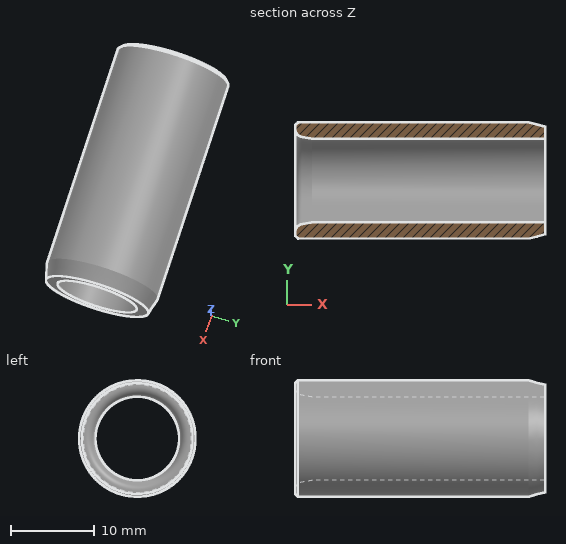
import cadquery as cq
import math

LENGTH = 30.0
OUTER_RADIUS = 7.0
BORE_RADIUS = 5.0

ENTRY_CHAMFER = 0.35
TAPER_LENGTH = 2.0
TAPER_ANGLE = math.radians(15)

MOUTH_RADIUS = 6.2
LIP_RADIUS = 1.0
CONE_ANGLE = math.radians(10)


def lip_point(angle):
    """Point (x, r) on the lip arc, with the angle measured from the end face."""
    x = LIP_RADIUS * (1 - math.cos(angle))
    radius = MOUTH_RADIUS - LIP_RADIUS * math.sin(angle)
    return x, radius


def half_profile():
    """Closed section of the sleeve wall, with r drawn along Y."""
    lip_sweep = math.pi / 2 - CONE_ANGLE
    cone_start_x, cone_start_radius = lip_point(lip_sweep)
    cone_end_x = cone_start_x + (cone_start_radius - BORE_RADIUS) / math.tan(CONE_ANGLE)
    taper_end_radius = OUTER_RADIUS - TAPER_LENGTH * math.tan(TAPER_ANGLE)
    return (
        cq.Workplane("XY")
        .moveTo(0, MOUTH_RADIUS)
        .threePointArc(lip_point(lip_sweep / 2), (cone_start_x, cone_start_radius))
        .lineTo(cone_end_x, BORE_RADIUS)
        .lineTo(LENGTH, BORE_RADIUS)
        .lineTo(LENGTH, taper_end_radius)
        .lineTo(LENGTH - TAPER_LENGTH, OUTER_RADIUS)
        .lineTo(ENTRY_CHAMFER, OUTER_RADIUS)
        .lineTo(0, OUTER_RADIUS - ENTRY_CHAMFER)
        .close()
    )


result = half_profile().revolve(360, (0, 0, 0), (1, 0, 0))